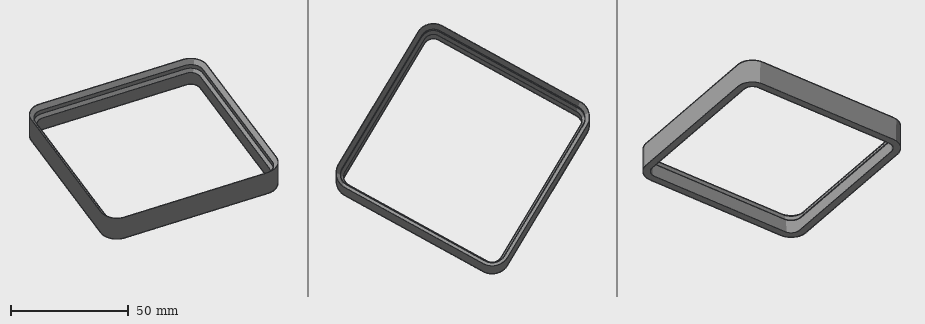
import cadquery as cq

side = 83.0
height = 11.7
corner_radius = 7.6

rim_bevel = 1.9
ledge_wall_height = 2.0
ledge_bevel = 1.3

ledge_top = height - rim_bevel - ledge_wall_height
wall_thickness = rim_bevel + ledge_bevel


def rounded_block(inset, bottom, top):
    """Square block inset from the outer sides, its corners concentric with the frame's."""
    width = side - 2 * inset
    block = cq.Workplane("XY").workplane(offset=bottom).rect(width, width).extrude(top - bottom)
    return block.edges("|Z").fillet(corner_radius - inset)


def bevelled_opening(top_inset, bevel, top):
    """Opening that narrows downwards at 45 degrees over the height of the bevel."""
    width = side - 2 * top_inset
    outline = cq.Sketch().rect(width, width).vertices().fillet(corner_radius - top_inset)
    return cq.Workplane("XY").workplane(offset=top).placeSketch(outline).extrude(-bevel, taper=45)


frame = rounded_block(0, 0, height)
frame = frame.cut(rounded_block(wall_thickness, 0, height))

frame = frame.cut(bevelled_opening(rim_bevel, ledge_bevel, ledge_top))
frame = frame.cut(rounded_block(rim_bevel, ledge_top, height))

result = frame.cut(bevelled_opening(0, rim_bevel, height))